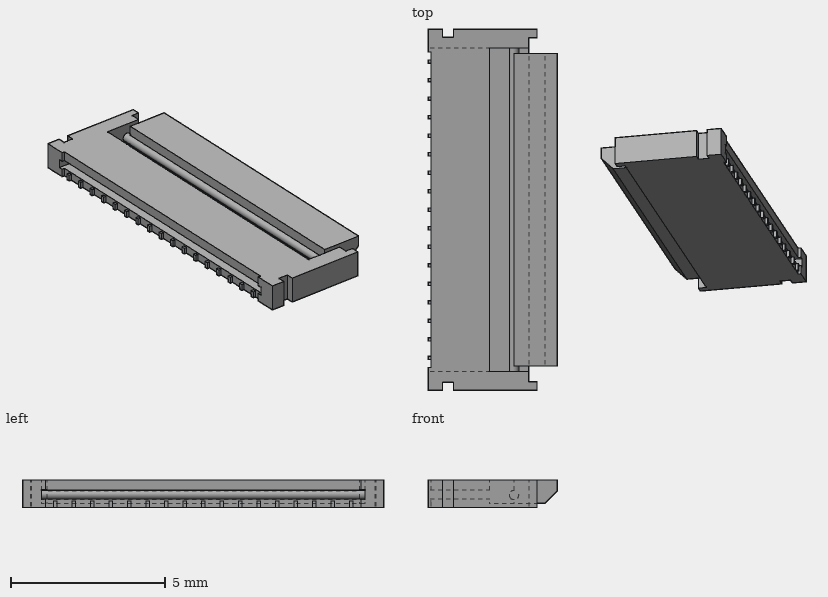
import cadquery as cq

LENGTH = 11.7
HEIGHT = 0.9
BODY_DEPTH = 3.53
FLAP_FRONT_X = 4.19

RECESS_DEPTH = 0.09
POST_WIDTH = 0.75

NOTCH_X = 0.47
NOTCH_WIDTH = 0.35
NOTCH_DEPTH = 0.26

FRONT_X = 3.26
TIP_WIDTH = 0.28

POCKET_LENGTH = 10.48
POCKET_X = 1.99
FLOOR_Z = 0.14
SLOT_BOTTOM_Z = 0.28
SLOT_HEIGHT = 0.29

FLAP_LENGTH = 10.13
FLAP_CHAMFER = 0.4
HINGE_RADIUS = 0.15
HINGE_X = 2.78
HINGE_Z = 0.41

TAIL_COUNT = 17
TAIL_SPAN = 9.59
TAIL_PITCH = TAIL_SPAN / (TAIL_COUNT - 1)
TAIL_WIDTH = 0.12
TAIL_HEIGHT = 0.22


def block(x_start, x_end, y_middle, width, z_bottom, z_top):
    """Box between two X and two Z positions, centred on y_middle."""
    return (
        cq.Workplane("XY", origin=(x_start, y_middle, z_bottom))
        .box(x_end - x_start, width, z_top - z_bottom, centered=(False, True, False))
    )


def make_housing():
    housing = block(0, BODY_DEPTH, 0, LENGTH, 0, HEIGHT)
    housing = housing.cut(block(0, RECESS_DEPTH, 0, LENGTH - 2 * POST_WIDTH, 0, HEIGHT))
    housing = housing.cut(block(FRONT_X, BODY_DEPTH, 0, LENGTH - 2 * TIP_WIDTH, 0, HEIGHT))
    for side in (-1, 1):
        notch_y = side * (LENGTH - NOTCH_DEPTH) / 2
        housing = housing.cut(block(NOTCH_X, NOTCH_X + NOTCH_WIDTH, notch_y, NOTCH_DEPTH, 0, HEIGHT))
    pocket = block(POCKET_X, FRONT_X, 0, POCKET_LENGTH, FLOOR_Z, HEIGHT)
    slot = block(0, POCKET_X, 0, POCKET_LENGTH, SLOT_BOTTOM_Z, SLOT_BOTTOM_Z + SLOT_HEIGHT)
    return housing.cut(pocket).cut(slot)


def make_flap():
    """Bevelled plate reaching forward from the hinge axis, resting on the pocket floor."""
    plate = block(HINGE_X, FLAP_FRONT_X, 0, FLAP_LENGTH, FLOOR_Z, HEIGHT)
    return plate.faces("<Z").edges(">X").chamfer(FLAP_CHAMFER)


def make_hinge_bar():
    """Round bar spanning the pocket from wall to wall."""
    return (
        cq.Workplane("XZ", origin=(HINGE_X, 0, HINGE_Z))
        .circle(HINGE_RADIUS)
        .extrude(POCKET_LENGTH / 2, both=True)
    )


def make_tail(index):
    tail_y = index * TAIL_PITCH - TAIL_SPAN / 2
    return block(0, RECESS_DEPTH, tail_y, TAIL_WIDTH, 0, TAIL_HEIGHT)


result = make_housing().union(make_flap()).union(make_hinge_bar())
for tail_index in range(TAIL_COUNT):
    result = result.union(make_tail(tail_index))